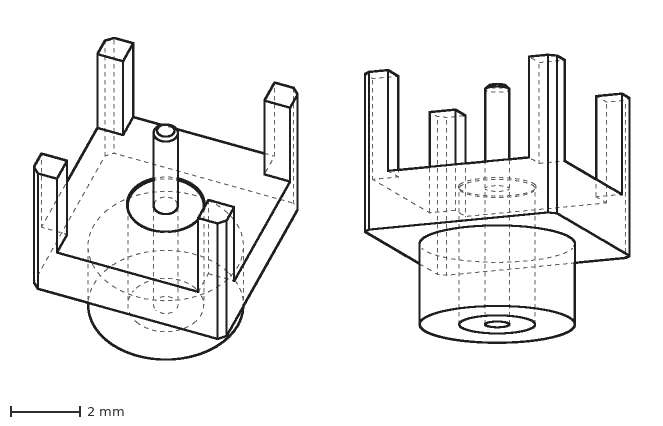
import cadquery as cq

block_width = 6.0
overall_height = 7.1
barrel_height = 2.4
block_height = 1.7
leg_width = 0.8
corner_chamfer = 0.205
barrel_diameter = 4.5

insulator_diameter = 2.2
bore_mouth_diameter = 2.25
bore_bevel_depth = 0.05
pin_diameter = 0.7
pin_chamfer = 0.1

block_top = barrel_height + block_height
insulator_top = block_top - bore_bevel_depth
leg_height = overall_height - block_top


def make_housing():
    """Square block on a round barrel, with a leg at each corner and a through bore flared at the top."""
    leg_offset = (block_width - leg_width) / 2
    barrel = cq.Workplane("XY").circle(barrel_diameter / 2).extrude(barrel_height)
    block = cq.Workplane("XY", origin=(0, 0, barrel_height)).rect(block_width, block_width).extrude(block_height)
    legs = (
        cq.Workplane("XY", origin=(0, 0, block_top))
        .rect(2 * leg_offset, 2 * leg_offset, forConstruction=True)
        .vertices()
        .rect(leg_width, leg_width)
        .extrude(leg_height)
    )
    envelope = (
        cq.Workplane("XY")
        .rect(block_width, block_width)
        .extrude(overall_height)
        .edges("|Z")
        .chamfer(corner_chamfer)
    )
    bore = cq.Workplane("XY").circle(insulator_diameter / 2).extrude(insulator_top)
    bore_bevel = (
        cq.Workplane("XY", origin=(0, 0, insulator_top))
        .circle(insulator_diameter / 2)
        .workplane(offset=bore_bevel_depth)
        .circle(bore_mouth_diameter / 2)
        .loft()
    )
    return block.union(legs).intersect(envelope).union(barrel).cut(bore).cut(bore_bevel)


def make_insulator():
    """Round sleeve that fills the housing bore around the pin, up to the foot of the bore bevel."""
    return (
        cq.Workplane("XY")
        .circle(insulator_diameter / 2)
        .circle(pin_diameter / 2)
        .extrude(insulator_top)
    )


def make_pin():
    """Straight centre pin with a bevelled upper tip."""
    return (
        cq.Workplane("XY")
        .circle(pin_diameter / 2)
        .extrude(overall_height)
        .faces(">Z")
        .chamfer(pin_chamfer)
    )


housing = make_housing()
insulator = make_insulator()
pin = make_pin()

result = cq.Compound.makeCompound([housing.val(), insulator.val(), pin.val()])